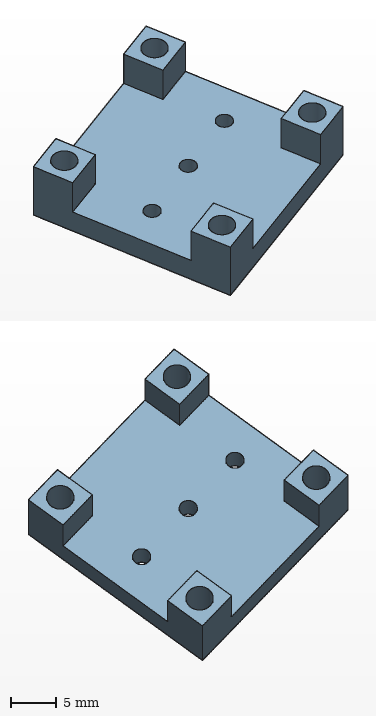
import cadquery as cq

plate_side = 25.0
plate_thickness = 3.0

total_height = 7.6
post_side = 5.0
post_hole_diameter = 3.0
post_spacing = plate_side - post_side
post_height = total_height - plate_thickness

row_hole_diameter = 2.0
row_hole_pitch = 8.0
row_hole_count = 3


def make_plate():
    """Plate centred on the Z axis, with its underside at Z = 0."""
    return cq.Workplane("XY").box(
        plate_side, plate_side, plate_thickness, centered=(True, True, False)
    )


def add_corner_posts(body):
    """Raise a square post flush with each corner of the plate."""
    posts = (
        cq.Workplane("XY")
        .workplane(offset=plate_thickness)
        .rarray(post_spacing, post_spacing, 2, 2)
        .rect(post_side, post_side)
        .extrude(post_height)
    )
    return body.union(posts)


def cut_holes(body):
    """Cut the post holes and the centre row right through the part."""
    post_holes = (
        cq.Workplane("XY")
        .rarray(post_spacing, post_spacing, 2, 2)
        .circle(post_hole_diameter / 2)
        .extrude(total_height)
    )
    row_holes = (
        cq.Workplane("XY")
        .rarray(row_hole_pitch, row_hole_pitch, 1, row_hole_count)
        .circle(row_hole_diameter / 2)
        .extrude(plate_thickness)
    )
    return body.cut(post_holes).cut(row_holes)


result = cut_holes(add_corner_posts(make_plate()))